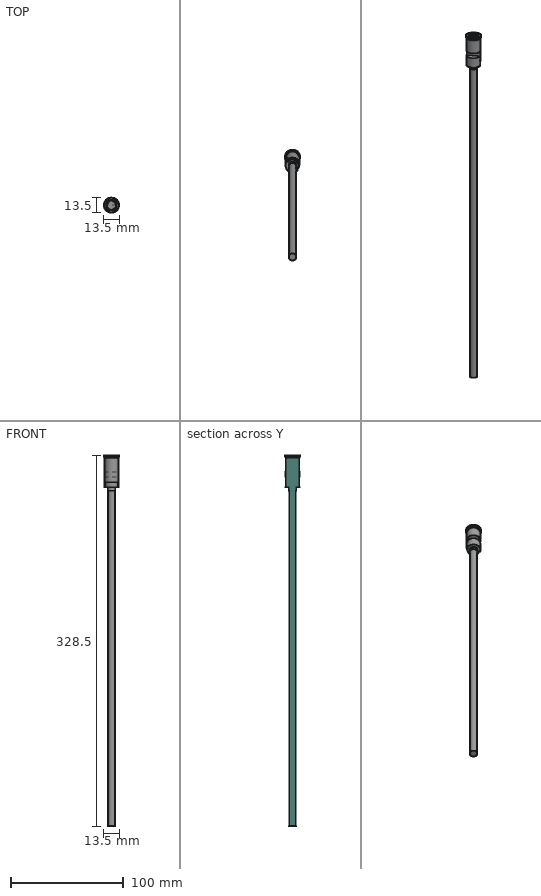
import cadquery as cq

TOTAL_LENGTH = 328.5
HEAD_LENGTH = 28.5
COLLAR_DIAMETER = 13.5
BODY_DIAMETER = 12.5
ROD_DIAMETER = 6.6

NECK_LENGTH = 3.0
NECK_DIAMETER = 7.0

COLLAR_HEIGHT = 1.5
GROOVE_WIDTH = 1.0
GROOVE_DIAMETER = 11.0
RIM_FILLET = 0.3

SOCKET_DIAMETER = 8.1
SOCKET_DEPTH = 2.0
SOCKET_CHAMFER = 0.6

STEP_HEIGHT = 4.5
STEP_DIAMETER = 10.8

SLOT_WIDTH = 4.5
SLOT_TOP_DEPTH = 14.8
SLOT_FLOOR_Y = 0.5

ROD_RADIUS = ROD_DIAMETER / 2
NECK_RADIUS = NECK_DIAMETER / 2
BODY_RADIUS = BODY_DIAMETER / 2
COLLAR_RADIUS = COLLAR_DIAMETER / 2
GROOVE_RADIUS = GROOVE_DIAMETER / 2
SOCKET_RADIUS = SOCKET_DIAMETER / 2
HEAD_BOTTOM = TOTAL_LENGTH - HEAD_LENGTH
NECK_BOTTOM = HEAD_BOTTOM - NECK_LENGTH


def turned_body():
    """Rod, neck and head with its groove and socket, turned about Z."""
    collar_bottom = TOTAL_LENGTH - COLLAR_HEIGHT
    body_top = collar_bottom - GROOVE_WIDTH
    socket_floor = TOTAL_LENGTH - SOCKET_DEPTH
    return (
        cq.Workplane("XZ")
        .lineTo(ROD_RADIUS, 0)
        .lineTo(ROD_RADIUS, NECK_BOTTOM)
        .lineTo(NECK_RADIUS, NECK_BOTTOM)
        .lineTo(NECK_RADIUS, HEAD_BOTTOM)
        .lineTo(BODY_RADIUS, HEAD_BOTTOM)
        .lineTo(BODY_RADIUS, body_top - RIM_FILLET)
        .radiusArc((BODY_RADIUS - RIM_FILLET, body_top), -RIM_FILLET)
        .lineTo(GROOVE_RADIUS, body_top)
        .lineTo(GROOVE_RADIUS, collar_bottom)
        .lineTo(COLLAR_RADIUS, collar_bottom)
        .lineTo(COLLAR_RADIUS, TOTAL_LENGTH)
        .lineTo(SOCKET_RADIUS + SOCKET_CHAMFER, TOTAL_LENGTH)
        .lineTo(SOCKET_RADIUS, TOTAL_LENGTH - SOCKET_CHAMFER)
        .lineTo(SOCKET_RADIUS, socket_floor)
        .lineTo(0, socket_floor)
        .close()
        .revolve(360, (0, 0, 0), (0, 1, 0))
    )


def front_step():
    """Half ring to remove from the -Y side of the head's lower end."""
    block = (
        cq.Workplane("XY")
        .box(2 * COLLAR_DIAMETER, COLLAR_DIAMETER, STEP_HEIGHT, centered=(True, False, False))
        .translate((0, -COLLAR_DIAMETER, HEAD_BOTTOM))
    )
    core = cq.Workplane("XY").workplane(offset=HEAD_BOTTOM).circle(STEP_DIAMETER / 2).extrude(STEP_HEIGHT)
    return block.cut(core)


def rear_slot():
    """Slot running along X through the +Y half of the head."""
    slot_bottom = TOTAL_LENGTH - SLOT_TOP_DEPTH - SLOT_WIDTH
    return (
        cq.Workplane("XY")
        .box(2 * COLLAR_DIAMETER, COLLAR_DIAMETER, SLOT_WIDTH, centered=(True, False, False))
        .translate((0, SLOT_FLOOR_Y, slot_bottom))
    )


result = turned_body().cut(front_step()).cut(rear_slot())